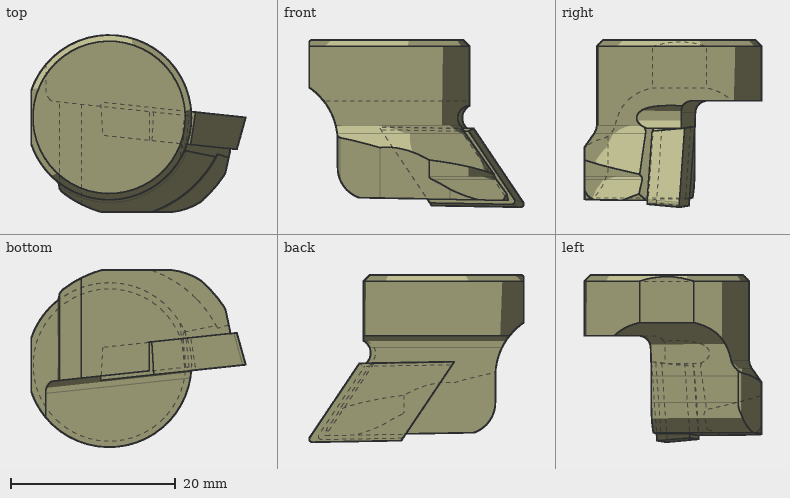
import cadquery as cq
import math

shank_radius = 10.0
shank_chamfer = 0.75
flat_x = -9.45

head_front_y = -11.5
left_corner = (-5.72, -9.03)
left_corner_y = -8.65
left_arc_mid = (-3.5, -10.45)
front_flat_start_x = -0.88
front_flat_end_x = 7.6
right_arc_mid = (11.87, -9.68)
right_arc_end = (14.13, -6.65)
right_side = (14.7, -4.0)
flare_front_z = -13
flare_slope = 0.7
neck_fillet = 1.7
head_bottom_z = -19.2
bottom_tilt = 1.0
cut_size = 52.05

left_wall_x = -6.0
scallop_top_z = -5.78
scallop_end_z = -12.25
scallop_radius = 7.83
heel_start_z = -15.43
heel_radius = 3.95
heel_x = -3.38

ledge_axis = (0.47, 1.85)
ledge_radius = 14.13
ledge_z = -16.75
ledge_fillet = 0.62
ledge_slope = 0.75

rake_angle = 6.1
back_shelf_z = -7.4
back_fillet = 1.35
insert_stand_off = 0.52

insert_tip_x = 16.57
insert_bottom_z = -20.3
insert_side = 11.58
insert_point_angle = 55
insert_tilt = bottom_tilt
insert_thickness = 3.98
insert_clearance = 5
nose_radius = 0.4
flank_inset = 1.1
front_flank_tilt = 22
notch_radius = 1.72
notch_x = 10.9
notch_z = -9.47

rake = math.radians(rake_angle)
along = cq.Vector(math.cos(rake), -math.sin(rake), 0)
inward = cq.Vector(-math.sin(rake), -math.cos(rake), 0)
up = cq.Vector(0, 0, 1)
rake_plane = cq.Plane(origin=(insert_tip_x, 0, 0), xDir=along, normal=inward)

half_point = math.radians(insert_point_angle / 2)
bisector = math.radians(180 - insert_tilt) - half_point
nose_offset = nose_radius / math.sin(half_point)
corner_x = -nose_offset * math.cos(bisector) - nose_radius
corner_z = insert_bottom_z + nose_radius - nose_offset * math.sin(bisector)
edge_angle = math.radians(180 - insert_tilt - insert_point_angle)
edge_dx = insert_side * math.cos(edge_angle)
edge_dz = insert_side * math.sin(edge_angle)
base_dx = -insert_side * math.cos(math.radians(insert_tilt))
base_dz = insert_side * math.sin(math.radians(insert_tilt))
insert_top_z = corner_z + edge_dz


def make_insert():
    """Rhombic insert with a rounded nose and tapered flanks."""
    blank = (
        cq.Workplane(rake_plane)
        .polyline([
            (corner_x, corner_z),
            (corner_x + edge_dx, corner_z + edge_dz),
            (corner_x + edge_dx + base_dx, corner_z + edge_dz + base_dz),
            (corner_x + base_dx, corner_z + base_dz),
        ])
        .close()
        .extrude(insert_thickness, taper=insert_clearance)
    )
    nose_edge = cq.selectors.NearestToPointSelector(
        rake_plane.toWorldCoords((corner_x, corner_z, insert_thickness / 2)).toTuple()
    )
    return blank.edges(nose_edge).fillet(nose_radius)


def flared_blank():
    """Chamfered shank that flares into a cone below a filleted neck."""
    flare_top_z = flare_front_z + (-head_front_y - shank_radius) / flare_slope
    flare_radius = -head_front_y + flare_slope * (flare_front_z - insert_bottom_z)
    blank = (
        cq.Workplane("XZ")
        .moveTo(0, 0)
        .lineTo(shank_radius, 0)
        .lineTo(shank_radius, flare_top_z)
        .lineTo(flare_radius, insert_bottom_z)
        .lineTo(0, insert_bottom_z)
        .close()
        .revolve(360, (0, 0, 0), (0, 1, 0))
    )
    neck = cq.selectors.BoxSelector(
        (-cut_size, -cut_size, flare_top_z - 0.25), (cut_size, cut_size, flare_top_z + 0.25)
    )
    return blank.edges(neck).fillet(neck_fillet).faces(">Z").edges().chamfer(shank_chamfer)


def plan_outline():
    """Outline of the head seen along Z; its open back clears the shank."""
    back_y = shank_radius + 0.25
    return (
        cq.Workplane("XY")
        .workplane(offset=insert_bottom_z)
        .moveTo(flat_x, back_y)
        .lineTo(flat_x, left_corner_y)
        .lineTo(left_wall_x, left_corner_y)
        .lineTo(*left_corner)
        .threePointArc(left_arc_mid, (front_flat_start_x, head_front_y))
        .lineTo(front_flat_end_x, head_front_y)
        .threePointArc(right_arc_mid, right_arc_end)
        .lineTo(*right_side)
        .lineTo(right_side[0], back_y)
        .close()
        .extrude(-insert_bottom_z)
    )


def side_outline():
    """Scalloped left side, rounded heel and tilted bottom, extruded along Y."""
    scallop_x = left_wall_x - scallop_radius
    start_angle = math.asin((scallop_top_z - scallop_end_z) / scallop_radius)
    scallop_mid = (
        scallop_x + scallop_radius * math.cos(start_angle / 2),
        scallop_end_z + scallop_radius * math.sin(start_angle / 2),
    )
    tilt = math.tan(math.radians(bottom_tilt))
    heel_center_x = left_wall_x + heel_radius
    heel_end_z = head_bottom_z - heel_x * tilt
    heel_angle = math.acos((heel_center_x - heel_x) / heel_radius)
    heel_mid = (
        heel_center_x - heel_radius * math.cos(heel_angle / 2),
        heel_start_z - heel_radius * math.sin(heel_angle / 2),
    )
    right_x = insert_tip_x
    return (
        cq.Workplane("XZ")
        .moveTo(flat_x, 0)
        .lineTo(flat_x, scallop_top_z)
        .threePointArc(scallop_mid, (left_wall_x, scallop_end_z))
        .lineTo(left_wall_x, heel_start_z)
        .threePointArc(heel_mid, (heel_x, heel_end_z))
        .lineTo(right_x, head_bottom_z - right_x * tilt)
        .lineTo(right_x, 0)
        .close()
        .extrude(cut_size / 2, both=True)
    )


def back_relief():
    """Space behind the back wall, with a rounded corner under the shelf."""
    wall = (
        cq.Workplane(rake_plane)
        .workplane(offset=insert_stand_off)
        .center(0, back_shelf_z - cut_size / 2)
        .rect(2 * cut_size, cut_size)
        .extrude(-cut_size)
    )
    corner = cq.selectors.NearestToPointSelector((0, 0, back_shelf_z))
    return wall.faces(">Z").edges(corner).fillet(back_fillet)


def ledge_relief():
    """Material removed outside the ledge wall and above its sloping floor."""
    outer_radius = 1.5 * ledge_radius
    floor_z = ledge_z - (outer_radius - ledge_radius) / ledge_slope
    relief = (
        cq.Workplane("XZ")
        .moveTo(ledge_radius, 0)
        .lineTo(ledge_radius, ledge_z)
        .lineTo(outer_radius, floor_z)
        .lineTo(outer_radius, 0)
        .close()
        .revolve(360, (0, 0, 0), (0, 1, 0))
    )
    inner = cq.selectors.BoxSelector(
        (-cut_size, -cut_size, ledge_z - 0.25), (cut_size, cut_size, ledge_z + 0.25)
    )
    return relief.edges(inner).fillet(ledge_fillet).translate((*ledge_axis, 0))


def beyond_flank(tilt_degrees):
    """Space beyond a flank plane along the insert edge, tilted outward towards the front."""
    edge = along * math.cos(edge_angle) + up * math.sin(edge_angle)
    square_out = along * math.sin(edge_angle) - up * math.cos(edge_angle)
    tilt = math.radians(tilt_degrees)
    outward = square_out * math.cos(tilt) - inward * math.sin(tilt)
    front_corner = rake_plane.toWorldCoords((corner_x, corner_z, insert_thickness))
    origin = front_corner - square_out * flank_inset
    return (
        cq.Workplane(cq.Plane(origin=origin, xDir=edge, normal=outward))
        .rect(cut_size, cut_size)
        .extrude(cut_size)
    )


def flank_relief():
    """Straight flank beside the insert and a sloping flank in front of it."""
    below_insert_top = (
        cq.Workplane("XY")
        .workplane(offset=insert_top_z)
        .rect(2 * cut_size, 2 * cut_size)
        .extrude(-cut_size)
    )
    return beyond_flank(0).intersect(beyond_flank(front_flank_tilt)).intersect(below_insert_top)


def corner_notch():
    """Round notch above the upper corner of the insert, square to the rake face."""
    return (
        cq.Workplane(rake_plane)
        .center((notch_x - insert_tip_x) / math.cos(rake), notch_z)
        .circle(notch_radius)
        .extrude(cut_size / 2, both=True)
    )


def make_holder(insert):
    """Holder with every relief cut and a seat that matches the insert."""
    holder = flared_blank().intersect(plan_outline()).intersect(side_outline())
    for relief in (back_relief(), ledge_relief(), flank_relief(), corner_notch(), insert):
        holder = holder.cut(relief)
    return holder


insert = make_insert()
holder = make_holder(insert)
result = cq.Compound.makeCompound([*holder.solids().vals(), *insert.solids().vals()])